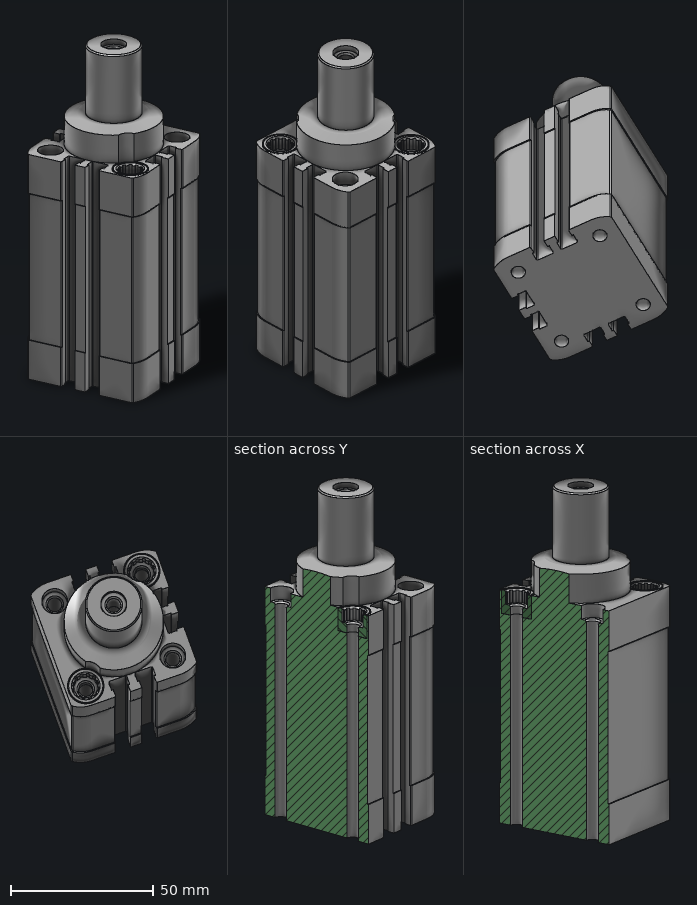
import cadquery as cq
import math

TOTAL_HEIGHT = 124.0
WIDTH = 47.0
HOUSING_HEIGHT = 85.9
END_BAND_HEIGHT = 15.0
MIDDLE_INSET = 0.4

ROUND_START_Y = 16.6
BEVEL_X = 21.6
BEVEL_Y = 23.1
BEVEL_END_X = 21.1
CORNER_RADIUS = 11.8

SLOT_FLOOR = 17.5
LIP_THICKNESS = 2.7
LIP_EDGE = 7.6
SLOT_EDGE = 8.2
RIB_HEAD_HALF = 2.1
RIB_NECK_HALF = 1.5
SLOT_CHAMFER = 0.4
SLOT_SIDES = (0, -90, 90)

COLLAR_DIAMETER = 35.0
COLLAR_TOP = 98.0
COLLAR_CONE_HEIGHT = 1.4
COLLAR_CONE_TOP_DIAMETER = 25.5
ROD_DIAMETER = 20.0
ROD_CHAMFER = 0.5

HOLE_DIAMETER = 5.0
HOLE_MOUTH_DIAMETER = 6.2
COUNTERBORE_DIAMETER = 9.0
ROD_COUNTERBORE_DEPTH = 2.0
ROD_HOLE_DEPTH = 14.9
DRILL_POINT_ANGLE = 118.0
HOLE_OFFSET = 16.2
MOUNT_COUNTERBORE_DEPTH = 5.1

SCREW_DIAMETER = 12.8
SCREW_LENGTH = 8.7
SCREW_CHAMFER = 0.4
SOCKET_TIP_DIAMETER = 8.5
SOCKET_ROOT_DIAMETER = 9.2
SOCKET_MOUTH_DIAMETER = 10.0
SOCKET_DEPTH = 5.1
SOCKET_TEETH = 12

SCREW_PLACES = [(-HOLE_OFFSET, HOLE_OFFSET), (HOLE_OFFSET, -HOLE_OFFSET)]
COUNTERBORE_PLACES = [(HOLE_OFFSET, HOLE_OFFSET), (-HOLE_OFFSET, -HOLE_OFFSET)]


def cylinder(diameter, bottom, height, place=(0, 0)):
    """Upright cylinder at a place in X and Y."""
    return cq.Workplane("XY", origin=(*place, bottom)).circle(diameter / 2).extrude(height)


def cone(bottom_diameter, top_diameter, bottom, height, place=(0, 0)):
    """Upright truncated cone at a place in X and Y."""
    solid = cq.Solid.makeCone(bottom_diameter / 2, top_diameter / 2, height, cq.Vector(*place, bottom))
    return cq.Workplane(obj=solid)


def countersink(mouth_diameter, diameter, top, place=(0, 0)):
    """45-degree cutter that opens a hole up to its mouth diameter."""
    depth = (mouth_diameter - diameter) / 2
    return cone(diameter, mouth_diameter, top - depth, depth, place)


def block(inset, bottom, height):
    """Slice of the housing without slots, its sides moved inwards by the inset."""
    side = WIDTH / 2 - inset
    bevel_x = BEVEL_X - inset
    bevel_y = BEVEL_Y - inset
    bevel_end = BEVEL_END_X - inset
    start = ROUND_START_Y
    return (
        cq.Workplane("XY", origin=(0, 0, bottom))
        .moveTo(side, -start)
        .lineTo(side, start)
        .radiusArc((bevel_x, bevel_y), -CORNER_RADIUS)
        .lineTo(bevel_end, side)
        .lineTo(-bevel_end, side)
        .lineTo(-bevel_x, bevel_y)
        .radiusArc((-side, start), -CORNER_RADIUS)
        .lineTo(-side, -start)
        .radiusArc((-bevel_x, -bevel_y), -CORNER_RADIUS)
        .lineTo(-bevel_end, -side)
        .lineTo(bevel_end, -side)
        .lineTo(bevel_x, -bevel_y)
        .radiusArc((side, -start), -CORNER_RADIUS)
        .close()
        .extrude(height)
    )


def slot(mirror, inset, bottom, height):
    """Front slot cutter for one slice; mirror is 1 for the slot at +X and -1 for the one at -X."""
    face = inset - WIDTH / 2
    lip = LIP_THICKNESS - WIDTH / 2
    points = [
        (RIB_HEAD_HALF, face),
        (RIB_HEAD_HALF, lip),
        (RIB_NECK_HALF, lip),
        (RIB_NECK_HALF, -SLOT_FLOOR - SLOT_CHAMFER),
        (RIB_NECK_HALF + SLOT_CHAMFER, -SLOT_FLOOR),
        (SLOT_EDGE - SLOT_CHAMFER, -SLOT_FLOOR),
        (SLOT_EDGE, -SLOT_FLOOR - SLOT_CHAMFER),
        (SLOT_EDGE, lip),
        (LIP_EDGE, lip),
        (LIP_EDGE, face + SLOT_CHAMFER),
        (LIP_EDGE + SLOT_CHAMFER, face),
    ]
    outline = [(mirror * x, y) for x, y in points]
    return cq.Workplane("XY", origin=(0, 0, bottom)).polyline(outline).close().extrude(height)


def slice_with_slots(inset, bottom, height):
    """Slice of the housing with a pair of slots on each slotted side."""
    body = block(inset, bottom, height)
    for angle in SLOT_SIDES:
        for mirror in (1, -1):
            body = body.cut(slot(mirror, inset, bottom, height).rotate((0, 0, 0), (0, 0, 1), angle))
    return body


def profile():
    """Slotted housing with a slightly slimmer middle between its two end bands."""
    middle_top = HOUSING_HEIGHT - END_BAND_HEIGHT
    lower_band = slice_with_slots(0, 0, END_BAND_HEIGHT)
    middle = slice_with_slots(MIDDLE_INSET, END_BAND_HEIGHT, middle_top - END_BAND_HEIGHT)
    upper_band = slice_with_slots(0, middle_top, END_BAND_HEIGHT)
    return lower_band.union(middle).union(upper_band)


def collar():
    """Bearing collar with a conical top, relieved beside the two screws."""
    straight_top = COLLAR_TOP - COLLAR_CONE_HEIGHT
    body = cylinder(COLLAR_DIAMETER, HOUSING_HEIGHT, straight_top - HOUSING_HEIGHT)
    body = body.union(cone(COLLAR_DIAMETER, COLLAR_CONE_TOP_DIAMETER, straight_top, COLLAR_CONE_HEIGHT))
    for place in SCREW_PLACES:
        body = body.cut(cylinder(SCREW_DIAMETER, HOUSING_HEIGHT, COLLAR_TOP - HOUSING_HEIGHT, place))
    return body


def rod():
    """Chamfered rod end standing on the collar."""
    return cylinder(ROD_DIAMETER, COLLAR_TOP, TOTAL_HEIGHT - COLLAR_TOP).faces(">Z").chamfer(ROD_CHAMFER)


def rod_hole():
    """Counterbored blind hole with a drill point."""
    seat = TOTAL_HEIGHT - ROD_COUNTERBORE_DEPTH
    hole_bottom = TOTAL_HEIGHT - ROD_HOLE_DEPTH
    point_height = HOLE_DIAMETER / 2 / math.tan(math.radians(DRILL_POINT_ANGLE / 2))
    cutter = cylinder(COUNTERBORE_DIAMETER, seat, ROD_COUNTERBORE_DEPTH)
    cutter = cutter.union(countersink(HOLE_MOUTH_DIAMETER, HOLE_DIAMETER, seat))
    cutter = cutter.union(cylinder(HOLE_DIAMETER, hole_bottom, seat - hole_bottom))
    return cutter.union(cone(0, HOLE_DIAMETER, hole_bottom - point_height, point_height))


def mounting_hole(place):
    """Through hole with a counterbore in the top face."""
    seat = HOUSING_HEIGHT - MOUNT_COUNTERBORE_DEPTH
    cutter = cylinder(HOLE_DIAMETER, 0, HOUSING_HEIGHT, place)
    cutter = cutter.union(countersink(HOLE_MOUTH_DIAMETER, HOLE_DIAMETER, seat, place))
    return cutter.union(cylinder(COUNTERBORE_DIAMETER, seat, MOUNT_COUNTERBORE_DEPTH, place))


def screw_hole(place):
    """Through hole with a recess that takes a whole screw."""
    recess = cylinder(SCREW_DIAMETER, HOUSING_HEIGHT - SCREW_LENGTH, SCREW_LENGTH, place)
    return recess.union(cylinder(HOLE_DIAMETER, 0, HOUSING_HEIGHT, place))


def make_housing():
    body = profile().union(collar()).union(rod()).cut(rod_hole())
    for place in COUNTERBORE_PLACES:
        body = body.cut(mounting_hole(place))
    for place in SCREW_PLACES:
        body = body.cut(screw_hole(place))
    return body


def socket(place):
    """Splined socket: a round hole with evenly spaced grooves as wide as the teeth between them."""
    floor = HOUSING_HEIGHT - SOCKET_DEPTH
    groove_width = math.pi * SOCKET_TIP_DIAMETER / (2 * SOCKET_TEETH)
    cutter = cylinder(SOCKET_TIP_DIAMETER, floor, SOCKET_DEPTH, place)
    envelope = cylinder(SOCKET_ROOT_DIAMETER, floor, SOCKET_DEPTH, place)
    for index in range(SOCKET_TEETH // 2):
        bar = (
            cq.Workplane("XY", origin=(*place, floor))
            .transformed(rotate=(0, 0, index * 360 / SOCKET_TEETH))
            .rect(2 * SOCKET_ROOT_DIAMETER, groove_width)
            .extrude(SOCKET_DEPTH)
        )
        cutter = cutter.union(bar.intersect(envelope))
    return cutter.union(countersink(SOCKET_MOUTH_DIAMETER, SOCKET_TIP_DIAMETER, HOUSING_HEIGHT, place))


def make_screw(place):
    """Hollow screw, flush with the top of the housing."""
    bottom = HOUSING_HEIGHT - SCREW_LENGTH
    body = cylinder(SCREW_DIAMETER, bottom, SCREW_LENGTH, place).faces(">Z").chamfer(SCREW_CHAMFER)
    body = body.cut(socket(place))
    body = body.cut(cylinder(HOLE_DIAMETER, bottom, SCREW_LENGTH, place))
    return body.cut(countersink(HOLE_MOUTH_DIAMETER, HOLE_DIAMETER, HOUSING_HEIGHT - SOCKET_DEPTH, place))


housing = make_housing()
screws = [make_screw(place) for place in SCREW_PLACES]

result = cq.Compound.makeCompound([housing.val(), *[screw.val() for screw in screws]])